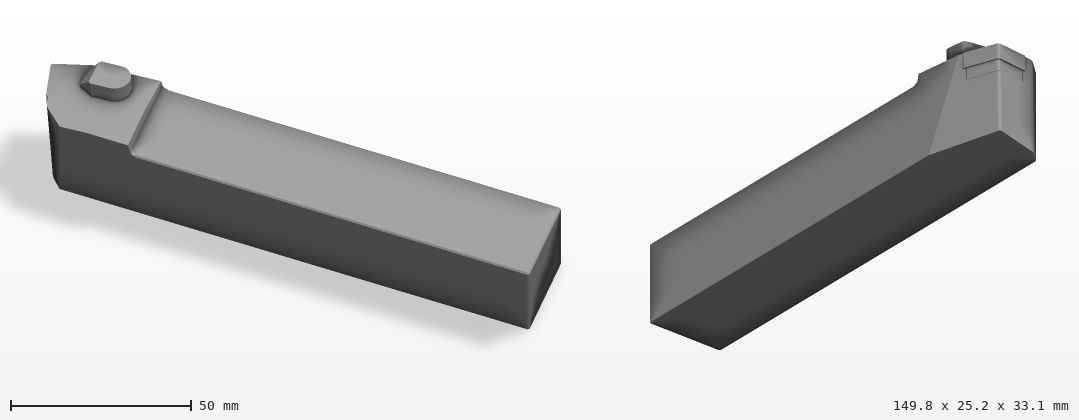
import cadquery as cq
import math

LENGTH = 149.8
WIDTH = 25.2
SHANK_HEIGHT = 25.0
HEAD_HEIGHT = 28.9
STEP_TOP_X = 31.0
STEP_BOTTOM_X = 31.9
STEP_RADIUS = 1.2
HEAD_END_X = STEP_BOTTOM_X + STEP_RADIUS
EDGE_CHAMFER = 0.5

SEAT_SLOPE = 0.095
CREASE_X = 18.7

LEAD_ANGLE = math.radians(15)
SIDE_FLANK_BOTTOM = 8.0
SIDE_FLANK_RELIEF = 0.075
END_FLANK_BOTTOM = 17.4
END_FLANK_RELIEF = 0.13
NOSE_CHAMFER = 10.8
NOSE_BLEND_RADIUS = 5.2
CORNER_RADIUS = 0.8

INSERT_SIDE = 12.7
INSERT_THICKNESS = 4.5
INSERT_CORNER_X = -0.18
INSERT_CORNER_Y = 22.0
SHIM_THICKNESS = 3.3
SHIM_INSET = 0.6

CLAMP_HEIGHT = 5.2
CLAMP_CENTER_X = 20.1
CLAMP_CENTER_Y = 18.6
CLAMP_RADIUS = 4.5
CLAMP_SHOULDER_X = 14.5
CLAMP_TIP_X = 10.2
CLAMP_TIP_HALF_WIDTH = 2.0
CLAMP_TIP_HEIGHT = 1.2
CLAMP_NOSE_TOP_X = 13.8

SEAT_NORMAL = cq.Vector(-SEAT_SLOPE, SEAT_SLOPE, 1).normalized()
OVERSIZE = 2 * WIDTH


def seat_z(x, y):
    """Height of the sloping seat face above a plan position."""
    return HEAD_HEIGHT + SEAT_SLOPE * (x - y - CREASE_X)


def seat_plane(x, y, angle=0.0):
    """Frame on the seat face with its local X turned by angle in plan."""
    dx = math.cos(angle)
    dy = math.sin(angle)
    x_dir = (dx, dy, SEAT_SLOPE * (dx - dy))
    return cq.Plane(origin=(x, y, seat_z(x, y)), xDir=x_dir, normal=SEAT_NORMAL.toTuple())


INSERT_PLANE = seat_plane(INSERT_CORNER_X, INSERT_CORNER_Y, LEAD_ANGLE)


def head_section(z):
    """Plan outline of the head at height z, with both flanks relieved."""
    cos_lead = math.cos(LEAD_ANGLE)
    sin_lead = math.sin(LEAD_ANGLE)
    side = SIDE_FLANK_BOTTOM - SIDE_FLANK_RELIEF * z
    end = END_FLANK_BOTTOM + END_FLANK_RELIEF * z
    back_x = (WIDTH * cos_lead - end) / sin_lead
    corner = (side * cos_lead - end * sin_lead, side * sin_lead + end * cos_lead)
    along = (NOSE_CHAMFER - side * (cos_lead + sin_lead)) / (cos_lead - sin_lead)
    nose = (side * cos_lead - along * sin_lead, side * sin_lead + along * cos_lead)
    points = [
        (NOSE_CHAMFER, 0),
        (HEAD_END_X, 0),
        (HEAD_END_X, WIDTH),
        (back_x, WIDTH),
        corner,
        nose,
    ]
    return [cq.Vector(x, y, z) for x, y in points]


def near_flank_edge(solid, index):
    """The slanted head edge that starts at one corner of the bottom outline."""
    start = head_section(0)[index]
    end = head_section(HEAD_HEIGHT)[index]
    return solid.edges(cq.selectors.NearestToPointSelector(((start + end) / 2).toTuple()))


def make_head():
    wires = [cq.Wire.makePolygon(head_section(z), close=True) for z in (0, HEAD_HEIGHT)]
    head = cq.Workplane(cq.Solid.makeLoft(wires, True))
    head = near_flank_edge(head, -1).fillet(NOSE_BLEND_RADIUS)
    head = near_flank_edge(head, -2).fillet(CORNER_RADIUS)
    step = (
        cq.Workplane("XZ")
        .polyline([
            (STEP_TOP_X, HEAD_HEIGHT),
            (STEP_BOTTOM_X, SHANK_HEIGHT),
            (HEAD_END_X, SHANK_HEIGHT),
            (HEAD_END_X, HEAD_HEIGHT),
        ])
        .close()
        .extrude(-WIDTH)
        .edges(cq.selectors.NearestToPointSelector((STEP_BOTTOM_X, WIDTH / 2, SHANK_HEIGHT)))
        .fillet(STEP_RADIUS)
    )
    above_seat = cq.Workplane(seat_plane(0, 0)).rect(2 * OVERSIZE, 2 * OVERSIZE).extrude(OVERSIZE)
    return head.cut(step).cut(above_seat)


def make_shank():
    return (
        cq.Workplane("XY")
        .box(LENGTH - HEAD_END_X, WIDTH, SHANK_HEIGHT, centered=False)
        .translate((HEAD_END_X, 0, 0))
        .edges("(>Z and |X) or (>X and |Z) or (>X and >Z)")
        .chamfer(EDGE_CHAMFER)
    )


def square_plate(inset, depth, thickness, reach=0.0):
    """Plate below the seat face; reach extends its two outer sides."""
    side = INSERT_SIDE - 2 * inset
    return (
        cq.Workplane(INSERT_PLANE)
        .workplane(offset=-depth - thickness)
        .moveTo(inset - reach, inset - INSERT_SIDE)
        .lineTo(inset + side, inset - INSERT_SIDE)
        .lineTo(inset + side, reach - inset)
        .lineTo(inset - reach, reach - inset)
        .close()
        .extrude(thickness)
    )


def round_corners(plate):
    edges = plate.edges(cq.selectors.ParallelDirSelector(SEAT_NORMAL))
    return edges.fillet(CORNER_RADIUS)


def make_insert():
    return round_corners(square_plate(0, 0, INSERT_THICKNESS))


def make_shim():
    return round_corners(square_plate(SHIM_INSET, INSERT_THICKNESS, SHIM_THICKNESS))


def make_clamp():
    top = cq.Workplane(cq.Plane(
        origin=(0, 0, seat_z(0, 0) + CLAMP_HEIGHT),
        xDir=(1, 0, SEAT_SLOPE),
        normal=SEAT_NORMAL.toTuple(),
    ))
    low_y = CLAMP_CENTER_Y - CLAMP_RADIUS
    high_y = CLAMP_CENTER_Y + CLAMP_RADIUS
    body = (
        top.moveTo(CLAMP_TIP_X, CLAMP_CENTER_Y - CLAMP_TIP_HALF_WIDTH)
        .lineTo(CLAMP_SHOULDER_X, low_y)
        .lineTo(CLAMP_CENTER_X, low_y)
        .threePointArc((CLAMP_CENTER_X + CLAMP_RADIUS, CLAMP_CENTER_Y), (CLAMP_CENTER_X, high_y))
        .lineTo(CLAMP_SHOULDER_X, high_y)
        .lineTo(CLAMP_TIP_X, CLAMP_CENTER_Y + CLAMP_TIP_HALF_WIDTH)
        .close()
        .extrude(-CLAMP_HEIGHT)
    )
    tip_drop = CLAMP_TIP_HEIGHT - CLAMP_HEIGHT
    nose_cut = (
        cq.Workplane(cq.Plane(origin=top.plane.origin, xDir=top.plane.xDir, normal=-top.plane.yDir))
        .polyline([(CLAMP_TIP_X, tip_drop), (CLAMP_NOSE_TOP_X, 0), (CLAMP_TIP_X, 0)])
        .close()
        .extrude(-OVERSIZE)
    )
    return body.cut(nose_cut)


def make_holder():
    metal = make_head().union(make_shank())
    pocket = square_plate(0, 0, INSERT_THICKNESS, WIDTH)
    shim_pocket = square_plate(SHIM_INSET, INSERT_THICKNESS, SHIM_THICKNESS, WIDTH)
    metal = metal.cut(pocket).cut(shim_pocket)
    return metal.union(make_shim()).union(make_clamp()).cut(make_insert())


holder = make_holder()
insert = make_insert()

result = cq.Compound.makeCompound([holder.val(), insert.val()])